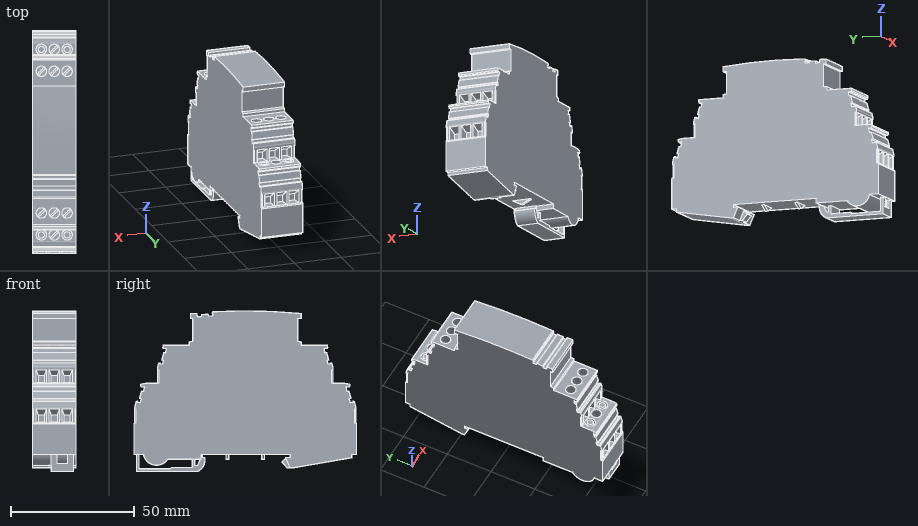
import cadquery as cq

width = 17.7
half_length = 45.0
top_z = 58.05
clip_bottom_z = -6.83

upper_tier_z = 44.2
lower_tier_z = 28.8
block_half_length = 22.7
upper_wall_y = 35.45
ledge_z = 12.85
ledge_chamfer = 0.3
ledge_chamfer_drop = 0.5
lower_wall_y = half_length - ledge_chamfer

crown_edge_z = 56.97
rim_bottom_z = 54.9
crown_front_end = (-13.0, 57.7)
marker_groove_floors = (55.95, 55.65)
front_rim_y = 22.15
front_rim_z = 57.0
neck_half_length = 21.2
neck_bottom_z = 45.8
shoulder_z = 45.5

pole_pitch = 5.2
pole_positions = [-pole_pitch, 0.0, pole_pitch]
screw_hole_diameter = 4.2
screw_hole_depth = 6.0
screw_slot_width = 0.75
screw_slot_depth = 0.6
screw_slot_angle = 45.0
test_post_diameter = 2.5
upper_screw_y = 28.6
lower_screw_y = 37.45

entry_width = 4.2
entry_back_width = 2.5
entry_back_height = 2.8
entry_floor_rise = 0.35
entry_depth = 3.0
upper_entry_top_z = 34.2
lower_entry_top_z = 18.4

relief_depth = 0.55
upper_relief_width = 0.3
lower_relief_width = 0.5

foot_hook_width = 4.2
foot_heel_y = 43.0
foot_heel_z = -1.3
foot_bottom_z = -5.4
hook_throat_z = -1.1
hook_tip = (14.75, -3.0)
foot_throat_y = 18.1

pad_inner_y = 17.9
pad_z = -1.9
boss_inner_y = 31.3
boss_outer_y = 41.1
boss_bottom = (35.9, -4.35)

clip_width = 9.1
clip_center_x = 3.25
clip_end_y = 43.95
clip_end_thickness = 1.15
clip_claw_y = 17.3
clip_floor_z = -5.7
clip_raised_floor_z = -5.2
clip_post_inner_y = 20.3
clip_post_outer_y = 21.4
clip_pocket_z = -4.35
window_width = 4.2
window_bottom_z = -3.5

rib_y = 7.2
rib_thickness = 1.15
rib_height = 1.95
rib_half_span = 4.0


def tier_outline():
    """One end of the housing as (distance from the middle, Z), from the block down to the underside."""
    return [
        (block_half_length, upper_tier_z),
        (33.2, upper_tier_z),
        (33.3, 43.2),
        (33.0, 42.75),
        (31.9, 42.75),
        (32.15, 41.2),
        (32.9, 41.2),
        (33.75, 38.1),
        (33.05, 38.0),
        (33.4, 36.65),
        (34.3, 36.65),
        (34.3, 37.05),
        (35.0, 36.9),
        (upper_wall_y, 35.3),
        (upper_wall_y, lower_tier_z),
        (40.05, lower_tier_z),
        (42.1, 28.5),
        (42.3, 27.75),
        (41.9, 27.2),
        (40.75, 27.3),
        (41.1, 25.5),
        (41.9, 25.6),
        (42.75, 22.7),
        (42.0, 22.5),
        (42.4, 21.0),
        (43.5, 21.2),
        (43.45, 21.6),
        (44.05, 21.45),
        (lower_wall_y, 18.9),
        (lower_wall_y, ledge_z),
        (half_length, ledge_z - ledge_chamfer_drop),
        (half_length, 0.0),
    ]


def extrude_x(sketch, size, center_x=0.0):
    """Extrude a closed YZ outline symmetrically about center_x."""
    return sketch.extrude(size / 2, both=True).translate((center_x, 0, 0))


def make_housing():
    plus_end = tier_outline()
    minus_end = [(-y, z) for y, z in plus_end]
    outline = cq.Workplane("YZ").polyline(plus_end + minus_end[::-1]).close()
    return extrude_x(outline, width)


def make_block():
    """Crowned middle block; two marker grooves cut its -Y top edge."""
    first_floor_z, second_floor_z = marker_groove_floors
    front_top = [
        (-13.4, 57.2),
        (-13.15, 56.8),
        (-13.15, first_floor_z),
        (-14.75, first_floor_z),
        (-15.0, 56.75),
        (-17.7, 56.5),
        (-17.7, second_floor_z),
        (-19.3, second_floor_z),
        (-19.5, front_rim_z),
        (-front_rim_y, front_rim_z),
        (-front_rim_y, rim_bottom_z),
    ]
    outline = (
        cq.Workplane("YZ")
        .moveTo(block_half_length, crown_edge_z)
        .threePointArc((0, top_z), crown_front_end)
    )
    for point in front_top:
        outline = outline.lineTo(*point)
    outline = (
        outline.lineTo(-neck_half_length, rim_bottom_z)
        .lineTo(-neck_half_length, neck_bottom_z)
        .lineTo(-block_half_length, shoulder_z)
        .lineTo(-block_half_length, upper_tier_z)
        .lineTo(block_half_length, upper_tier_z)
        .lineTo(block_half_length, shoulder_z)
        .lineTo(neck_half_length, neck_bottom_z)
        .lineTo(neck_half_length, rim_bottom_z)
        .lineTo(block_half_length, rim_bottom_z)
        .close()
    )
    return extrude_x(outline, width)


def make_rail_foot():
    """Wedge-shaped foot with a narrower hook that grips the rail."""
    hook_root = (16.2, hook_throat_z)
    foot = cq.Workplane("YZ").polyline(
        [
            (foot_heel_y, 0.0),
            (foot_heel_y, foot_heel_z),
            (19.35, foot_bottom_z),
            (foot_throat_y, foot_bottom_z),
            hook_root,
            (foot_throat_y, hook_throat_z),
            (foot_throat_y, 0.0),
        ]
    ).close()
    hook = cq.Workplane("YZ").polyline(
        [
            (foot_throat_y, foot_bottom_z),
            (16.95, foot_bottom_z),
            hook_tip,
            (16.65, hook_throat_z),
            (foot_throat_y, hook_throat_z),
        ]
    ).close()
    return extrude_x(foot, width).union(extrude_x(hook, foot_hook_width))


def make_pad():
    outline = (
        cq.Workplane("YZ")
        .moveTo(-pad_inner_y, 0)
        .lineTo(-pad_inner_y, pad_z)
        .lineTo(-boss_inner_y, pad_z)
        .threePointArc((-boss_bottom[0], boss_bottom[1]), (-boss_outer_y, 0))
        .close()
    )
    return extrude_x(outline, width)


def make_clip():
    """Spring clip: a curved rail claw, a post, a stepped floor and an end wall with a window."""
    end_inner_y = clip_end_y - clip_end_thickness
    outline = (
        cq.Workplane("YZ")
        .moveTo(-pad_inner_y, 0)
        .lineTo(-clip_claw_y, 0)
        .lineTo(-clip_claw_y, -1.05)
        .lineTo(-16.2, -1.3)
        .threePointArc((-17.0, -4.9), (-19.2, clip_bottom_z))
        .lineTo(-clip_end_y, clip_bottom_z)
        .lineTo(-clip_end_y, 0)
        .lineTo(-end_inner_y, 0)
        .lineTo(-end_inner_y, clip_floor_z)
        .lineTo(-30.25, clip_floor_z)
        .lineTo(-29.8, clip_raised_floor_z)
        .lineTo(-clip_post_outer_y, clip_raised_floor_z)
        .lineTo(-clip_post_outer_y, pad_z)
        .lineTo(-clip_post_inner_y, pad_z)
        .lineTo(-clip_post_inner_y, clip_pocket_z)
        .lineTo(-19.3, clip_pocket_z)
        .lineTo(-18.2, pad_z)
        .lineTo(-pad_inner_y, pad_z)
        .close()
    )
    window = cq.Workplane("XY").box(
        window_width, 2 * clip_end_thickness, -window_bottom_z, centered=(True, True, False)
    )
    window = window.translate((clip_center_x, -clip_end_y, window_bottom_z))
    return extrude_x(outline, clip_width, clip_center_x).cut(window)


def make_rib(y):
    rib = (
        cq.Workplane("XZ")
        .polyline([(-rib_half_span, 0), (0, -rib_height), (rib_half_span, 0)])
        .close()
        .extrude(rib_thickness / 2, both=True)
    )
    return rib.translate((0, y, 0))


def screw_hole(x, y, surface_z):
    """Round hole down to a slotted screw head."""
    head_z = surface_z - screw_hole_depth
    hole = cq.Workplane("XY").circle(screw_hole_diameter / 2).extrude(screw_hole_depth)
    slot = (
        cq.Workplane("XY")
        .rect(2 * screw_hole_diameter, screw_slot_width)
        .extrude(-screw_slot_depth)
        .rotate((0, 0, 0), (0, 0, 1), screw_slot_angle)
    )
    head = cq.Workplane("XY").circle(screw_hole_diameter / 2).extrude(-screw_slot_depth)
    return hole.union(slot.intersect(head)).translate((x, y, head_z))


def test_post_ring(x, y, surface_z):
    """Ring-shaped gap around a post that ends level with the tier."""
    ring = (
        cq.Workplane("XY")
        .circle(screw_hole_diameter / 2)
        .circle(test_post_diameter / 2)
        .extrude(-screw_hole_depth)
    )
    return ring.translate((x, y, surface_z))


def wire_entry(x, wall_y, floor_z, entry_top_z):
    """Four-sided funnel narrowing inwards from the -Y terminal wall."""
    height = entry_top_z - floor_z
    back_center_offset = entry_floor_rise + (entry_back_height - height) / 2
    funnel = (
        cq.Workplane("XZ")
        .rect(entry_width, height)
        .workplane(offset=-entry_depth)
        .center(0, back_center_offset)
        .rect(entry_back_width, entry_back_height)
        .loft()
    )
    return funnel.translate((x, -wall_y, floor_z + height / 2))


def edge_relief(side, wall_y, relief_width, floor_z, relief_top_z):
    relief = cq.Workplane("XY").box(relief_width, relief_depth, relief_top_z - floor_z, centered=False)
    relief = relief.translate((width / 2 - relief_width, -wall_y, floor_z))
    return relief if side > 0 else relief.mirror("YZ")


def terminal_cuts():
    """All terminal cuts at the -Y end."""
    cuts = []
    for x in pole_positions:
        cuts.append(screw_hole(x, -upper_screw_y, upper_tier_z))
        if x == 0:
            cuts.append(screw_hole(x, -lower_screw_y, lower_tier_z))
        else:
            cuts.append(test_post_ring(x, -lower_screw_y, lower_tier_z))
        cuts.append(wire_entry(x, upper_wall_y, lower_tier_z, upper_entry_top_z))
        cuts.append(wire_entry(x, lower_wall_y, ledge_z, lower_entry_top_z))
    for side in (-1, 1):
        cuts.append(edge_relief(side, upper_wall_y, upper_relief_width, lower_tier_z, upper_entry_top_z))
        cuts.append(edge_relief(side, lower_wall_y, lower_relief_width, ledge_z, lower_entry_top_z))
    return cuts


result = make_housing().union(make_block()).union(make_rail_foot()).union(make_pad()).union(make_clip())
for rib_position in (-rib_y, rib_y):
    result = result.union(make_rib(rib_position))

for cut in terminal_cuts():
    result = result.cut(cut)
    result = result.cut(cut.rotate((0, 0, 0), (0, 0, 1), 180))